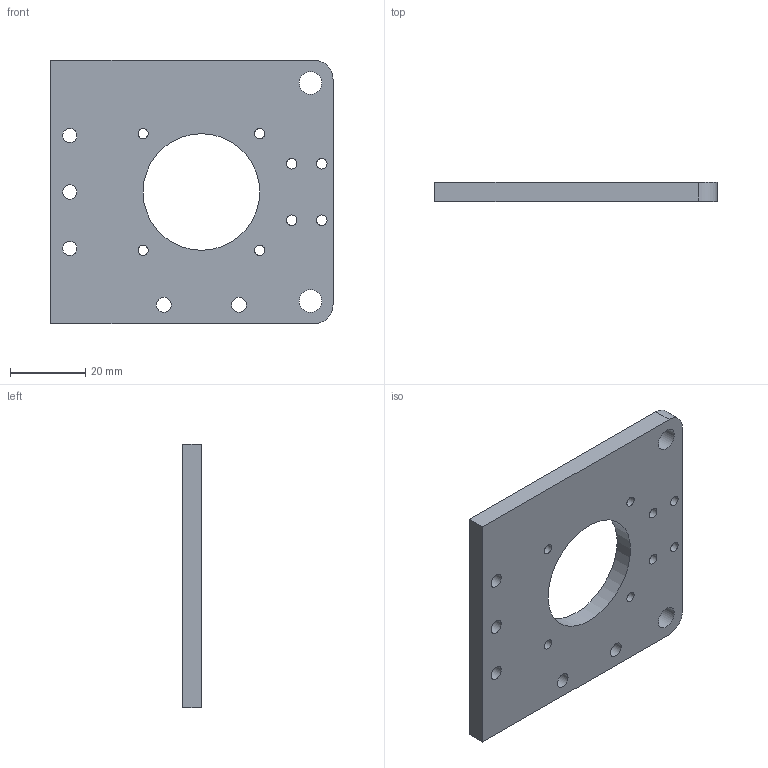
import cadquery as cq

width = 75.0
thickness = 5.0
height = 70.0
corner_radius = 5.0
mid_height = height / 2

bore_diameter = 31.0
bore_x = 40.0
motor_screw_diameter = 2.7
motor_screw_spacing = 31.0

left_hole_diameter = 3.8
left_hole_x = 5.0
left_hole_pitch = 15.0

bottom_hole_diameter = 4.0
bottom_hole_spacing = 20.0
bottom_hole_z = 5.0

corner_hole_diameter = 6.0
corner_hole_inset = 6.0

side_screw_diameter = 2.8
side_screw_x = 68.0
side_screw_spacing_x = 8.0
side_screw_spacing_z = 15.0


def make_plate():
    """Flat plate with its two right-hand corners rounded."""
    plate = cq.Workplane("XY").box(width, thickness, height, centered=False)
    return plate.edges("|Y and >X").fillet(corner_radius)


def rectangle_points(center_x, center_z, spacing_x, spacing_z):
    """Four corners of a rectangle given by its centre and its sides."""
    return [
        (center_x + side_x * spacing_x / 2, center_z + side_z * spacing_z / 2)
        for side_x in (-1, 1)
        for side_z in (-1, 1)
    ]


def drill(body, points, diameter):
    """Cut through holes along Y at the given (x, z) points."""
    cutters = cq.Workplane("XZ").pushPoints(points).circle(diameter / 2).extrude(-thickness)
    return body.cut(cutters)


left_points = [(left_hole_x, mid_height + step * left_hole_pitch) for step in (-1, 0, 1)]
bottom_points = [(bore_x + side * bottom_hole_spacing / 2, bottom_hole_z) for side in (-1, 1)]
corner_points = [(width - corner_hole_inset, z) for z in (corner_hole_inset, height - corner_hole_inset)]
motor_points = rectangle_points(bore_x, mid_height, motor_screw_spacing, motor_screw_spacing)
side_points = rectangle_points(side_screw_x, mid_height, side_screw_spacing_x, side_screw_spacing_z)

result = make_plate()
result = drill(result, [(bore_x, mid_height)], bore_diameter)
result = drill(result, motor_points, motor_screw_diameter)
result = drill(result, left_points, left_hole_diameter)
result = drill(result, bottom_points, bottom_hole_diameter)
result = drill(result, corner_points, corner_hole_diameter)
result = drill(result, side_points, side_screw_diameter)